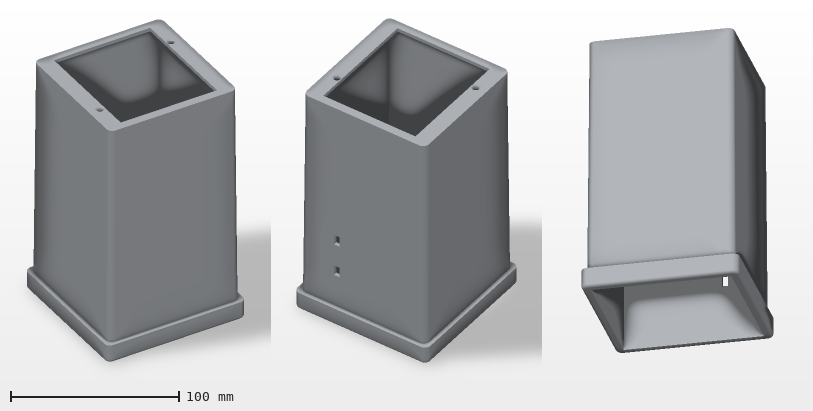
import cadquery as cq

total_height = 162.5
flange_side = 96.0
flange_height = 12.4
flange_edge_radius = 1.8
corner_radius = 4.0

body_bottom_side = 90.5
body_top_side = 88.2

wall_thickness = 2.5
lip_thickness = 2.5
opening_x = 77.0
opening_y = 66.6
cavity_bottom_side = body_bottom_side - 2 * wall_thickness
cavity_top_side = body_top_side - 2 * wall_thickness

screw_x = 19.8
screw_y = 36.4
screw_diameter = 3.9
countersink_diameter = 5.5
countersink_angle = 90

window_y = 19.0
window_width = 3.9
window_height = 7.2
window_centers_z = (38.8, 62.0)


def square_section(side, z, radius=0):
    """Square section centred on the Z axis at height z, with optional corner rounding."""
    section = cq.Sketch().rect(side, side)
    if radius > 0:
        section = section.vertices().fillet(radius)
    return section.moved(cq.Location(cq.Vector(0, 0, z)))


def make_flange():
    section = square_section(flange_side, 0, corner_radius)
    flange = cq.Workplane("XY").placeSketch(section).extrude(flange_height)
    return flange.faces("<Z").edges().fillet(flange_edge_radius)


def make_body():
    bottom = square_section(body_bottom_side, flange_height, corner_radius)
    top = square_section(body_top_side, total_height, corner_radius)
    return cq.Workplane("XY").placeSketch(bottom, top).loft()


def cut_interior(part):
    opening = cq.Workplane("XY").rect(opening_x, opening_y).extrude(total_height)
    bottom = square_section(cavity_bottom_side, 0)
    top = square_section(cavity_top_side, total_height - lip_thickness)
    cavity = cq.Workplane("XY").placeSketch(bottom, top).loft()
    return part.cut(opening).cut(cavity)


def cut_screw_holes(part):
    return (
        part.faces(">Z")
        .workplane(origin=(0, 0, total_height))
        .pushPoints([(-screw_x, screw_y), (screw_x, -screw_y)])
        .cskHole(screw_diameter, countersink_diameter, countersink_angle, depth=lip_thickness)
    )


def cut_windows(part):
    for center_z in window_centers_z:
        window = cq.Workplane("XY").box(flange_side / 2, window_width, window_height)
        part = part.cut(window.translate((-flange_side / 2, window_y, center_z)))
    return part


result = cut_windows(cut_screw_holes(cut_interior(make_flange().union(make_body()))))